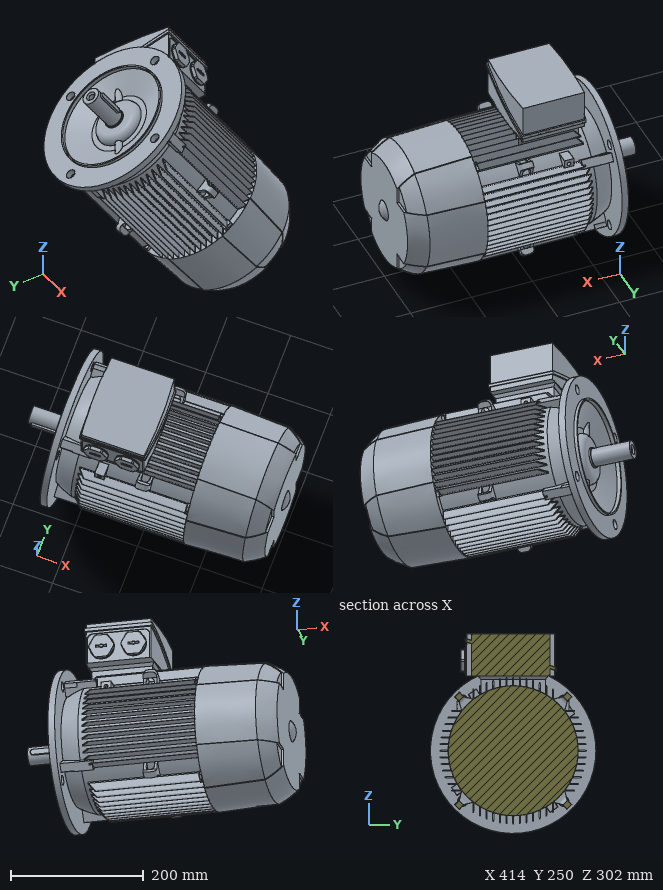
import cadquery as cq
import math


SHAFT_R = 14.0
SHAFT_SHOULDER_R = 15.7
SHAFT_SHOULDER_X = 62.5
KEY_START_X = 5.0
KEY_END_X = 54.2
KEY_WIDTH = 8.3
KEY_TOP = 17.0
CENTRE_HOLE_R = 5.0
CENTRE_HOLE_DEPTH = 25.0
CENTRE_SINK_R = 7.5

SPIGOT_X = 54.5
SPIGOT_R = 90.0
FLANGE_X = 59.5
FLANGE_BACK_X = 70.5
FLANGE_R = 125.0
FLANGE_HOLE_R = 7.5
FLANGE_HOLE_OFFSET = 76.0
NUT_SPACE_R = 13.0
NUT_SPACE_END_X = 90.0
BELL_FRONT_R = 85.3
BELL_BULGE = 1.2
BODY_X = 99.8

DISH_RIM_R = 87.5
DISH_RIM_DEPTH = 6.2
DISH_FLOOR_X = 77.5
DISH_FLOOR_R = 49.3
HUB_R = 39.7
HUB_FACE_X = 65.0
HUB_ROUND = DISH_FLOOR_X - HUB_FACE_X
DISH_RIB_R = 6.2
DISH_RIB_FRONT_X = 71.2
DISH_RIB_END = 66.2

BODY_R = 98.0
FIN_TIP_R = 110.5
FIN_TIP_WIDTH = 0.5
FIN_TIP_TAPER = 2.0
FIN_START_X = 106.0
FIN_CHAMFER = 11.5
FIN_SPREAD = 120.0
FIN_THICKNESS = 1.5
FINS_PER_SIDE = 13
FIN_ROOT_R = 70.5

COWL_X = 284.5
COWL_FRONT_R = 111.5
COWL_BEND_X = 378.5
COWL_BEND_R = 107.5
COWL_END_X = 407.5
COWL_END_R = 89.5
COWL_BULGE = 1.0
PANEL_OFFSET = 49.0
PANEL_DEPTH = 1.2
PANEL_END_X = 403.5
KNOB_R = 16.0
TOTAL_LENGTH = 414.0

PAD_END_X = 120.0
PAD_ANGLE = 34.8
PAD_TOP_R = 108.0
PAD_WIDTH = 14.5
PAD_HEIGHT = 20.5
LUG_X = 280.0
LUG_ANGLE = 90 - PAD_ANGLE
LUG_TOP_R = PAD_TOP_R
LUG_WIDTH = 13.5
LUG_HEIGHT = 16.5

EYE_X = 208.0
EYE_LENGTH = 21.0
EYE_THICKNESS = 10.0
EYE_TOP_R = 120.0
EYE_CORNER = 6.5
EYE_SLOT_LENGTH = 13.0
EYE_SLOT_ROUND = 6.0
EYE_SLOT_TOP_R = 110.5
EYE_FOOT_R = 97.3
EYE_FOOT_WIDTH = 25.0
EYE_BASE_R = 87.0

EARTH_X = 140.0
EARTH_LENGTH = 15.5
EARTH_FACE_Y = 84.5
EARTH_BOTTOM_Z = 60.0
EARTH_TOP_Z = 74.5
EARTH_HOLE_R = 3.0
EARTH_HOLE_Z = 66.5
EARTH_HOLE_DEPTH = 6.2

TOTAL_HEIGHT = 302.0
BOX_X = 156.0
BOX_HALF_LENGTH = 50.5
BOX_BULGE = 3.5
BOX_FRONT_Y = -70.5
BOX_BACK_Y = 63.0
BOX_BOTTOM_Z = 112.5
BOX_TOP_Z = TOTAL_HEIGHT - FLANGE_R
SEAM_PROUD = 2.0
SEAM_THICKNESS = 5.0
SEAM_FRONT_Z = 166.5
SEAM_BACK_Z = 123.8
NECK_HALF_LENGTH = 47.0
NECK_HALF_WIDTH = 49.0
NECK_FLARE = 3.7
NECK_TOP_Z = 107.5
NECK_BOTTOM_Z = 83.0

PLATE_HALF_LENGTH = 48.5
PLATE_TOP_Z = 160.0
PLATE_CORNER = 8.3
PLATE_FACE_Y = -71.5
PLUG_SPACING = 50.0
PLUG_Z = 136.0
PLUG_COLLAR_R = 18.5
PLUG_COLLAR_Y = -73.3
PLUG_FLATS = 35.0
PLUG_CORNER_R = 19.5
PLUG_FACE_Y = -79.0
PLUG_SLOT_LENGTH = 17.0
PLUG_SLOT_WIDTH = 3.0
PLUG_SLOT_EYE_R = 2.5
PLUG_SLOT_DEPTH = 1.2


def turned(profile):
    """Revolve a closed (x, radius) outline about the motor axis."""
    return profile.close().revolve(360, (0, 0, 0), (1, 0, 0))


def axial_cylinder(x_start, x_end, radius, y=0.0, z=0.0):
    """Cylinder along X."""
    return cq.Workplane("YZ", origin=(x_start, y, z)).circle(radius).extrude(x_end - x_start)


def span_box(x_range, y_range, z_range):
    """Box given by its limits along each axis."""
    spans = [high - low for low, high in (x_range, y_range, z_range)]
    corner = (x_range[0], y_range[0], z_range[0])
    return cq.Workplane("XY").box(*spans, centered=False).translate(corner)


def about_axis(shape, angle):
    """Turn a shape about the motor axis."""
    return shape.rotate((0, 0, 0), (1, 0, 0), angle)


def quarter_turns(shape):
    """Four copies of a shape, a quarter turn apart about the motor axis."""
    copies = shape
    for quarter in range(1, 4):
        copies = copies.union(about_axis(shape, 90 * quarter))
    return copies


def make_core():
    """Flange, dished shield and plain stator cylinder as one turned shape."""
    bell_mid_x = (FLANGE_BACK_X + BODY_X) / 2
    bell_mid_r = (BELL_FRONT_R + BODY_R) / 2 + BELL_BULGE
    core = turned(
        cq.Workplane("XY")
        .moveTo(HUB_FACE_X, 0)
        .lineTo(HUB_FACE_X, HUB_R - HUB_ROUND)
        .radiusArc((DISH_FLOOR_X, HUB_R), HUB_ROUND)
        .lineTo(DISH_FLOOR_X, DISH_FLOOR_R)
        .lineTo(SPIGOT_X + DISH_RIM_DEPTH, DISH_RIM_R)
        .lineTo(SPIGOT_X, DISH_RIM_R)
        .lineTo(SPIGOT_X, SPIGOT_R)
        .lineTo(FLANGE_X, SPIGOT_R)
        .lineTo(FLANGE_X, FLANGE_R)
        .lineTo(FLANGE_BACK_X, FLANGE_R)
        .lineTo(FLANGE_BACK_X, BELL_FRONT_R)
        .threePointArc((bell_mid_x, bell_mid_r), (BODY_X, BODY_R))
        .lineTo(COWL_X, BODY_R)
        .lineTo(COWL_X, 0)
    )
    rib_x = DISH_RIB_FRONT_X + DISH_RIB_R
    ribs = (
        cq.Workplane("XY", origin=(rib_x, 0, -DISH_RIB_END))
        .circle(DISH_RIB_R)
        .extrude(2 * DISH_RIB_END)
        .cut(axial_cylinder(0, COWL_X, HUB_R - HUB_ROUND / 2))
    )
    return core.union(ribs)


def make_fins():
    """Parallel sharp-tipped fins on all four sides, chamfered at their front ends."""
    pitch = FIN_SPREAD / (FINS_PER_SIDE - 1)
    side = cq.Workplane("XY")
    for index in range(FINS_PER_SIDE):
        y = index * pitch - FIN_SPREAD / 2
        tip_z = math.sqrt(FIN_TIP_R**2 - y**2)
        fin = (
            cq.Workplane("YZ", origin=(FIN_START_X, y, 0))
            .moveTo(-FIN_THICKNESS / 2, FIN_ROOT_R)
            .lineTo(-FIN_THICKNESS / 2, tip_z - FIN_TIP_TAPER)
            .lineTo(-FIN_TIP_WIDTH / 2, tip_z)
            .lineTo(FIN_TIP_WIDTH / 2, tip_z)
            .lineTo(FIN_THICKNESS / 2, tip_z - FIN_TIP_TAPER)
            .lineTo(FIN_THICKNESS / 2, FIN_ROOT_R)
            .close()
            .extrude(COWL_X - FIN_START_X)
        )
        side = side.union(fin)
    envelope = turned(
        cq.Workplane("XY")
        .moveTo(FIN_START_X, 0)
        .lineTo(FIN_START_X, FIN_TIP_R - FIN_CHAMFER)
        .lineTo(FIN_START_X + FIN_CHAMFER, FIN_TIP_R)
        .lineTo(FIN_START_X + FIN_CHAMFER, FLANGE_R)
        .lineTo(COWL_X, FLANGE_R)
        .lineTo(COWL_X, 0)
    )
    return quarter_turns(side.intersect(envelope))


def cowl_shell(inset):
    """Solid outline of the cowl, with its radii reduced by an inset."""
    bulge_x = (COWL_BEND_X + COWL_END_X) / 2 + COWL_BULGE
    bulge_r = (COWL_BEND_R + COWL_END_R) / 2 + COWL_BULGE
    return turned(
        cq.Workplane("XY")
        .moveTo(COWL_X, 0)
        .lineTo(COWL_X, COWL_FRONT_R - inset)
        .lineTo(COWL_BEND_X, COWL_BEND_R - inset)
        .threePointArc((bulge_x, bulge_r - inset), (COWL_END_X, COWL_END_R - inset))
        .lineTo(COWL_END_X, 0)
    )


def make_cowl():
    """Fan cowl with four sunken corner panels and a domed knob on its end."""
    corner_limits = (PANEL_OFFSET, FLANGE_R)
    corner = span_box((COWL_X, PANEL_END_X), corner_limits, corner_limits)
    end_corner = span_box((PANEL_END_X, TOTAL_LENGTH), corner_limits, corner_limits)
    sunken = quarter_turns(corner.cut(cowl_shell(PANEL_DEPTH)).union(end_corner))
    knob_height = TOTAL_LENGTH - COWL_END_X
    knob_dome_r = (KNOB_R**2 + knob_height**2) / (2 * knob_height)
    knob = turned(
        cq.Workplane("XY")
        .moveTo(COWL_BEND_X, 0)
        .lineTo(COWL_BEND_X, KNOB_R)
        .lineTo(COWL_END_X, KNOB_R)
        .radiusArc((TOTAL_LENGTH, 0), knob_dome_r)
    )
    return cowl_shell(0).cut(sunken).union(knob)


def make_shaft():
    """Shaft with shoulder, round-ended key and countersunk centre hole."""
    shaft = axial_cylinder(0, DISH_FLOOR_X, SHAFT_R)
    shoulder = axial_cylinder(SHAFT_SHOULDER_X, DISH_FLOOR_X, SHAFT_SHOULDER_R)
    key = (
        cq.Workplane("XZ", origin=((KEY_START_X + KEY_END_X) / 2, 0, 0))
        .slot2D(KEY_END_X - KEY_START_X, KEY_WIDTH)
        .extrude(KEY_TOP)
    )
    sink_depth = CENTRE_SINK_R - CENTRE_HOLE_R
    centre_hole = turned(
        cq.Workplane("XY")
        .lineTo(0, CENTRE_SINK_R)
        .lineTo(sink_depth, CENTRE_HOLE_R)
        .lineTo(CENTRE_HOLE_DEPTH, CENTRE_HOLE_R)
        .lineTo(CENTRE_HOLE_DEPTH, 0)
    )
    return shaft.union(shoulder).union(key).cut(centre_hole)


def make_pads():
    """Blocks behind the flange, each hollowed where it would foul a flange bolt nut."""
    pad = span_box(
        (FLANGE_X, PAD_END_X), (-PAD_WIDTH / 2, PAD_WIDTH / 2), (PAD_TOP_R - PAD_HEIGHT, PAD_TOP_R)
    )
    hole_radius = FLANGE_HOLE_OFFSET * math.sqrt(2)
    nut_space = axial_cylinder(FLANGE_BACK_X, NUT_SPACE_END_X, NUT_SPACE_R, 0, hole_radius)
    return quarter_turns(about_axis(pad, PAD_ANGLE).cut(about_axis(nut_space, 45)))


def make_lugs():
    """Screw lugs in front of the cowl."""
    lug = span_box(
        (LUG_X, COWL_X), (-LUG_WIDTH / 2, LUG_WIDTH / 2), (LUG_TOP_R - LUG_HEIGHT, LUG_TOP_R)
    )
    return quarter_turns(about_axis(lug, LUG_ANGLE))


def make_eyes():
    """Lifting loops standing out along the four diagonals."""
    half = EYE_THICKNESS / 2
    half_foot = EYE_FOOT_WIDTH / 2
    x_limits = (EYE_X - EYE_LENGTH / 2, EYE_X + EYE_LENGTH / 2)
    slot_limits = (EYE_X - EYE_SLOT_LENGTH / 2, EYE_X + EYE_SLOT_LENGTH / 2)
    plate = span_box(x_limits, (-half, half), (EYE_BASE_R, EYE_TOP_R))
    plate = plate.edges("|Y and >Z").fillet(EYE_CORNER)
    foot = (
        cq.Workplane("YZ", origin=(x_limits[0], 0, 0))
        .moveTo(-half, EYE_SLOT_TOP_R)
        .lineTo(-half_foot, EYE_FOOT_R)
        .lineTo(-half_foot, EYE_BASE_R)
        .lineTo(half_foot, EYE_BASE_R)
        .lineTo(half_foot, EYE_FOOT_R)
        .lineTo(half, EYE_SLOT_TOP_R)
        .close()
        .extrude(EYE_LENGTH)
    )
    plate = plate.union(foot)
    slot = span_box(slot_limits, (-half_foot, half_foot), (EYE_BASE_R, EYE_SLOT_TOP_R))
    slot = slot.edges("|Y and >Z").fillet(EYE_SLOT_ROUND)
    return quarter_turns(about_axis(plate.cut(slot), 45))


def make_earth_blocks():
    """Flank blocks, each with a blind screw hole in its face."""
    x_limits = (EARTH_X - EARTH_LENGTH / 2, EARTH_X + EARTH_LENGTH / 2)
    blocks = span_box(x_limits, (-EARTH_FACE_Y, EARTH_FACE_Y), (EARTH_BOTTOM_Z, EARTH_TOP_Z))
    hole = (
        cq.Workplane("XZ", origin=(EARTH_X, -EARTH_FACE_Y, EARTH_HOLE_Z))
        .circle(EARTH_HOLE_R)
        .extrude(-EARTH_HOLE_DEPTH)
    )
    return blocks.cut(hole).cut(hole.mirror("XZ"))


def box_prism(margin, z_bottom, z_top):
    """Upright prism over the box outline, whose -X and +X sides bow outwards."""
    half = BOX_HALF_LENGTH + margin
    front = BOX_FRONT_Y - margin
    back = BOX_BACK_Y + margin
    middle = (front + back) / 2
    return (
        cq.Workplane("XY", origin=(BOX_X, 0, z_bottom))
        .moveTo(-half, front)
        .lineTo(half, front)
        .threePointArc((half + BOX_BULGE, middle), (half, back))
        .lineTo(-half, back)
        .threePointArc((-half - BOX_BULGE, middle), (-half, front))
        .close()
        .extrude(z_top - z_bottom)
    )


def make_terminal_box():
    """Box on a narrower neck, with a sloping seam band between base and lid."""
    box = box_prism(0, BOX_BOTTOM_Z, BOX_TOP_Z)

    slope = (SEAM_BACK_Z - SEAM_FRONT_Z) / (BOX_BACK_Y - BOX_FRONT_Y)
    front_y = BOX_FRONT_Y - SEAM_PROUD
    back_y = BOX_BACK_Y + SEAM_PROUD
    front_z = SEAM_FRONT_Z - slope * SEAM_PROUD
    back_z = SEAM_BACK_Z + slope * SEAM_PROUD
    half_band = SEAM_THICKNESS / 2 * math.hypot(1, slope)
    band_reach = BOX_HALF_LENGTH + BOX_BULGE + SEAM_PROUD
    slice_shape = (
        cq.Workplane("YZ", origin=(BOX_X - band_reach, 0, 0))
        .moveTo(front_y, front_z - half_band)
        .lineTo(back_y, back_z - half_band)
        .lineTo(back_y, back_z + half_band)
        .lineTo(front_y, front_z + half_band)
        .close()
        .extrude(2 * band_reach)
    )
    seam = box_prism(SEAM_PROUD, BOX_BOTTOM_Z, BOX_TOP_Z).intersect(slice_shape)

    neck = (
        cq.Workplane("XY", origin=(BOX_X, 0, NECK_BOTTOM_Z))
        .rect(2 * NECK_HALF_LENGTH, 2 * NECK_HALF_WIDTH)
        .extrude(NECK_TOP_Z - NECK_BOTTOM_Z)
    )
    flare = (
        cq.Workplane("XY", origin=(BOX_X, 0, NECK_TOP_Z))
        .rect(2 * NECK_HALF_LENGTH, 2 * NECK_HALF_WIDTH)
        .workplane(offset=BOX_BOTTOM_Z - NECK_TOP_Z)
        .rect(2 * (NECK_HALF_LENGTH + NECK_FLARE), 2 * (NECK_HALF_WIDTH + NECK_FLARE))
        .loft()
    )
    return box.union(seam).union(neck).union(flare)


def make_plug(x):
    """Round collar and slotted hexagon head of one cable entry plug."""
    collar = (
        cq.Workplane("XZ", origin=(x, BOX_FRONT_Y, PLUG_Z))
        .circle(PLUG_COLLAR_R)
        .extrude(BOX_FRONT_Y - PLUG_COLLAR_Y)
    )
    head_plane = cq.Workplane("XZ", origin=(x, PLUG_COLLAR_Y, PLUG_Z))
    head_height = PLUG_COLLAR_Y - PLUG_FACE_Y
    across_corners = PLUG_FLATS / math.cos(math.pi / 6)
    head = head_plane.polygon(6, across_corners).extrude(head_height)
    head = head.intersect(head_plane.circle(PLUG_CORNER_R).extrude(head_height))
    face_plane = cq.Workplane("XZ", origin=(x, PLUG_FACE_Y, PLUG_Z))
    slot = face_plane.rect(PLUG_SLOT_LENGTH, PLUG_SLOT_WIDTH).extrude(-PLUG_SLOT_DEPTH)
    slot_eye = face_plane.circle(PLUG_SLOT_EYE_R).extrude(-PLUG_SLOT_DEPTH)
    return collar.union(head).cut(slot.union(slot_eye))


def make_cable_entry():
    """Front plate with rounded top corners, carrying two plugs."""
    plate = span_box(
        (BOX_X - PLATE_HALF_LENGTH, BOX_X + PLATE_HALF_LENGTH),
        (PLATE_FACE_Y, BOX_FRONT_Y),
        (BOX_BOTTOM_Z, PLATE_TOP_Z),
    )
    plate = plate.edges("|Y and >Z").fillet(PLATE_CORNER)
    for side in (-1, 1):
        plate = plate.union(make_plug(BOX_X + side * PLUG_SPACING / 2))
    return plate


def flange_holes():
    """Bolt holes through the flange."""
    offset = FLANGE_HOLE_OFFSET
    return quarter_turns(axial_cylinder(FLANGE_X, FLANGE_BACK_X, FLANGE_HOLE_R, offset, offset))


result = make_core().union(make_pads()).cut(flange_holes())
additions = (
    make_fins(), make_lugs(), make_cowl(), make_eyes(), make_earth_blocks(),
    make_terminal_box(), make_cable_entry(), make_shaft(),
)
for addition in additions:
    result = result.union(addition)